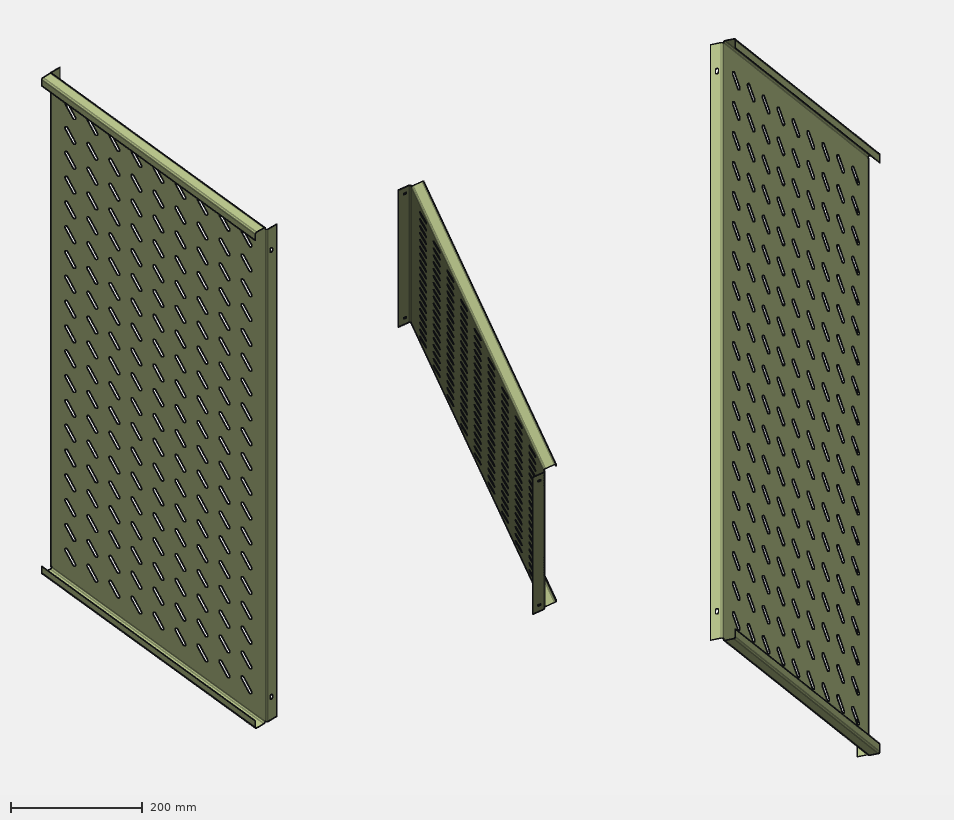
import cadquery as cq

WIDTH = 492.0
DEPTH = 41.0
HEIGHT = 997.0
SHEET = 1.0
BEND_RADIUS = 3.0
SIDE_FLANGE_DEPTH = 21.0
LIP_HEIGHT = 16.0
CORNER_GAP = 4.0

COLUMNS = 9
ROWS = 19
SLOT_PITCH = 50.0
SLOT_LENGTH = 31.0
SLOT_WIDTH = 8.0
SLOT_ANGLE = -45

MOUNT_LENGTH = 9.0
MOUNT_WIDTH = 5.0
MOUNT_SPACING = 897.0
MOUNT_FROM_BACK = 11.0

BACK = DEPTH / 2
FRONT = -DEPTH / 2
PANEL_FRONT = BACK - SIDE_FLANGE_DEPTH
PANEL_BACK = PANEL_FRONT + SHEET
INNER_RADIUS = BEND_RADIUS - SHEET


def rounded_bar(size_x, front, back, size_z, edges, radius):
    """Box centred on X and Z between two Y positions, with the chosen edges rounded."""
    bar = cq.Workplane("XY").box(size_x, back - front, size_z)
    return bar.translate((0, (front + back) / 2, 0)).edges(edges).fillet(radius)


def side_channel():
    """Panel with both side flanges turned back, opening toward +Y."""
    height = HEIGHT - 2 * CORNER_GAP
    outer = rounded_bar(WIDTH, PANEL_FRONT, BACK, height, "|Z and <Y", BEND_RADIUS)
    inner = rounded_bar(
        WIDTH - 2 * SHEET, PANEL_BACK, BACK + SHEET, HEIGHT, "|Z and <Y", INNER_RADIUS
    )
    return outer.cut(inner)


def end_channel():
    """Panel with both end flanges turned forward and lips folded inward at the front."""
    width = WIDTH - 2 * CORNER_GAP
    outer = rounded_bar(width, FRONT, PANEL_BACK, HEIGHT, "|X", BEND_RADIUS)
    inner = rounded_bar(
        WIDTH, FRONT + SHEET, PANEL_FRONT, HEIGHT - 2 * SHEET, "|X", INNER_RADIUS
    )
    opening = cq.Workplane("XY").box(WIDTH, 2 * SHEET, HEIGHT - 2 * LIP_HEIGHT)
    return outer.cut(inner).cut(opening.translate((0, FRONT, 0)))


def panel_slots():
    """Cutters for the grid of inclined slots."""
    return (
        cq.Workplane("XZ", origin=(0, PANEL_BACK + SHEET, 0))
        .rarray(SLOT_PITCH, SLOT_PITCH, COLUMNS, ROWS)
        .slot2D(SLOT_LENGTH, SLOT_WIDTH, SLOT_ANGLE)
        .extrude(3 * SHEET)
    )


def mounting_slots():
    """Cutters for the upright slots through both side flanges."""
    return (
        cq.Workplane("YZ", origin=(0, BACK - MOUNT_FROM_BACK, 0))
        .rarray(10, MOUNT_SPACING, 1, 2)
        .slot2D(MOUNT_LENGTH, MOUNT_WIDTH, 90)
        .extrude(WIDTH, both=True)
    )


result = side_channel().union(end_channel()).cut(panel_slots()).cut(mounting_slots())